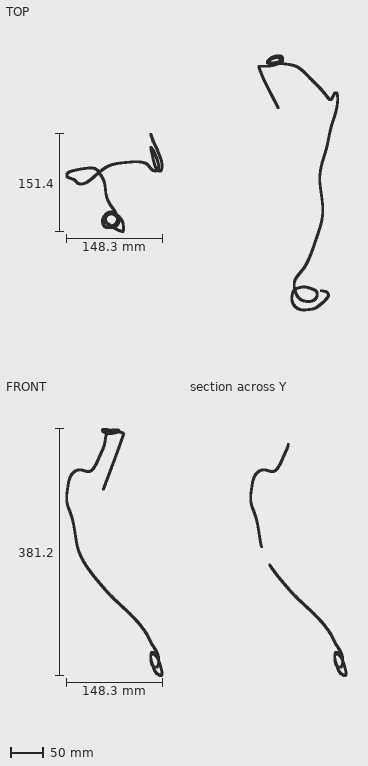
import cadquery as cq


lead_diameter = 0.9

free_tip = (-16.9, -58.5, 96.7)

free_end = [
    (-6.2, -65.3, 125.3),
    (6.5, -72.9, 159.6),
    (12.7, -75.0, 177.0),
]

elbow = [
    (13.6, -74.6, 179.6),
    (14.2, -68.6, 182.2),
    (12.5, -59.4, 184.0),
    (6.3, -51.3, 185.8),
]

outer_turn = [
    (-5.3, -44.6, 187.9),
    (-16.1, -52.2, 189.7),
    (-18.2, -60.7, 187.5),
    (-12.9, -68.4, 184.0),
    (-4.0, -69.0, 183.0),
    (2.0, -66.9, 184.2),
    (7.2, -59.4, 186.3),
    (5.2, -52.9, 188.5),
]

inner_turn = [
    (-5.3, -47.6, 188.2),
    (-12.6, -51.9, 187.8),
    (-13.4, -58.0, 187.2),
    (-5.3, -66.0, 185.0),
    (1.4, -63.7, 185.0),
    (4.7, -57.2, 187.3),
    (2.8, -47.0, 188.3),
]

upper_lead = [
    (-5.5, -34.5, 186.0),
    (-11.6, -22.0, 182.6),
    (-13.7, -9.7, 175.0),
    (-16.0, 3.2, 163.3),
    (-22.1, 14.3, 149.0),
    (-30.0, 22.3, 132.5),
    (-38.0, 23.2, 124.5),
    (-53.0, 21.2, 127.0),
    (-66.0, 18.3, 119.5),
]

lower_lead = [
    (-72.1, 14.9, 97.8),
    (-73.4, 10.5, 79.0),
    (-66.4, 6.9, 56.6),
    (-59.5, 2.9, 22.3),
    (-54.9, -1.0, 1.7),
    (-44.6, 0.0, -18.9),
    (-24.0, 16.0, -46.3),
    (-5.7, 27.5, -66.9),
    (16.0, 31.5, -87.5),
    (42.0, 32.2, -115.0),
    (51.2, 28.5, -128.7),
    (57.0, 21.8, -140.2),
    (61.8, 18.7, -148.0),
]

small_loop = [
    (66.0, 19.5, -155.0),
    (68.6, 24.0, -165.5),
    (67.5, 31.5, -175.2),
    (64.0, 41.8, -178.0),
    (59.8, 50.3, -175.8),
    (56.1, 55.2, -166.2),
    (56.2, 53.6, -160.5),
    (58.3, 45.0, -156.9),
    (60.1, 36.5, -155.8),
    (62.6, 27.5, -158.2),
    (66.2, 20.5, -162.5),
]

open_loop = [
    (69.7, 18.2, -171.0),
    (72.8, 20.9, -181.6),
    (73.6, 29.2, -188.6),
    (71.8, 37.0, -190.5),
    (68.0, 47.0, -188.9),
    (64.6, 55.3, -186.3),
    (61.2, 62.2, -180.3),
    (59.1, 68.0, -173.8),
    (56.9, 73.0, -166.9),
    (56.3, 75.5, -160.8),
    (57.5, 71.7, -155.5),
    (59.8, 63.9, -154.6),
]


lead_sections = [
    free_end,
    elbow,
    outer_turn,
    inner_turn,
    upper_lead,
    lower_lead,
    small_loop,
    open_loop,
]


def joined_sections():
    """Starts every section at the last point of the one before it."""
    sections = []
    previous_end = free_tip
    for section in lead_sections:
        sections.append([cq.Vector(*point) for point in [previous_end] + section])
        previous_end = section[-1]
    return sections


def section_curve(points, start_direction, end_direction):
    """A smooth curve through the points, timed by the distance from point to point."""
    distances = [0.0]
    for here, there in zip(points, points[1:]):
        distances.append(distances[-1] + (there - here).Length)
    return cq.Edge.makeSpline(
        points,
        tangents=[start_direction, end_direction],
        parameters=distances,
        scale=False,
    )


def lead_centreline():
    """All sections in order, meeting one another without a kink."""
    sections = joined_sections()
    edges = []
    start_direction = (sections[0][1] - sections[0][0]).normalized()
    for points, following in zip(sections, sections[1:] + [None]):
        beyond = following[1] if following else points[-1]
        end_direction = (beyond - points[-2]).normalized()
        edges.append(section_curve(points, start_direction, end_direction))
        start_direction = end_direction
    return cq.Wire.assembleEdges(edges)


def swept_lead(path):
    """The round wire that follows the path."""
    start = cq.Plane(origin=path.positionAt(0), normal=path.tangentAt(0))
    return cq.Workplane(start).circle(lead_diameter / 2).sweep(path)


result = swept_lead(lead_centreline())